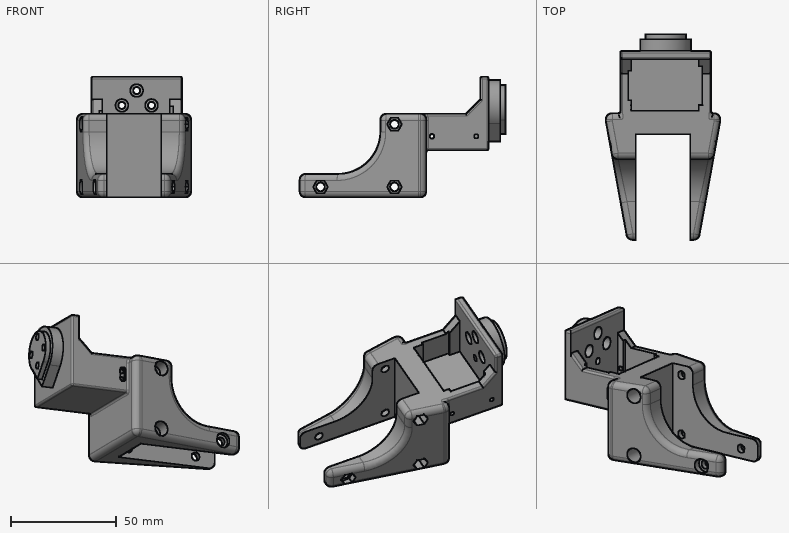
import cadquery as cq
import math


FORK_LENGTH = 60.1
FORK_HALF_WIDTH = 27.1
STRAIGHT_SIDE_LENGTH = 3.9
TIP_HALF_WIDTH = 16.9
DECK_Z = 39.7
UPPER_FRONT_Y = 38.2
ARM_HEIGHT = 11.2
SWEEP_RADIUS = 20.0
FORK_FILLET = 3.0
SLOT_WIDTH = 25.6
SLOT_LENGTH = 50.0

SCREW_REAR_Y = 44.9
SCREW_TIP_Y = 9.9
SCREW_LOW_Z = 5.0
SCREW_HIGH_Z = 34.6
SCREW_HOLE = 4.0
SCREW_HEAD = 7.0
NUT_CORNERS = 7.0
SCREW_SEAT_WALL = 3.0

BOX_CENTER_X = 1.3
BOX_WIDTH = 43.0
BOX_BOTTOM_Z = 22.3
PLATE_TOP_Z = 57.2
PLATE_THICKNESS = 4.0
PLATE_REAR_Y = 89.5
PLATE_FRONT_Y = PLATE_REAR_Y - PLATE_THICKNESS
GUSSET = 6.7
BOX_FILLET = 1.0

POCKET_LEFT_X = -15.1
POCKET_RIGHT_X = 16.9
POCKET_FRONT_Y = 61.1
POCKET_FLOOR_Z = 26.0
LEFT_RELIEF_DEPTH = 1.3
LEFT_RELIEF_Y = (66.1, 80.1)
RIGHT_RELIEF_DEPTH = 1.8
RIGHT_RELIEF_Y = (64.0, 82.3)

SIDE_HOLE = 2.0
SIDE_HOLE_FRONT_Y = 62.7
SIDE_HOLE_REAR_Y = 83.7
SIDE_HOLE_Z = 29.0
SIDE_HOLE_PITCH = 3.8
SIDE_SLOT_WIDTH = 3.0
SIDE_SLOT_DEPTH = 1.95

HUB_Z = 43.6
HUB_RADIUS = 12.1
HUB_END_Y = 95.1
BOSS_RADIUS = 9.7
BOSS_END_Y = 97.5
HUB_HOLE_CIRCLE_RADIUS = 7.0
HUB_HOLE = 3.2
HUB_HEAD = 6.0
HUB_SEAT_WALL = 3.0

BOX_LEFT_X = BOX_CENTER_X - BOX_WIDTH / 2
BOX_RIGHT_X = BOX_CENTER_X + BOX_WIDTH / 2
GUSSET_TOP_Z = DECK_Z + GUSSET
SCREW_SEAT_X = SLOT_WIDTH / 2 + SCREW_SEAT_WALL

OVERCUT = 1.0
MARGIN = 0.1


def block(x_range, y_range, z_range):
    """Axis-aligned block between the given limits."""
    (x0, x1), (y0, y1), (z0, z1) = x_range, y_range, z_range
    return cq.Workplane("XY").box(x1 - x0, y1 - y0, z1 - z0, centered=False).translate((x0, y0, z0))


def rod_x(diameter, y, z, x0, x1):
    """Cylinder along X between x0 and x1."""
    return cq.Workplane("YZ", origin=(x0, y, z)).circle(diameter / 2).extrude(x1 - x0)


def rod_y(diameter, x, z, y0, y1):
    """Cylinder along Y between y0 and y1."""
    return cq.Workplane("XZ", origin=(x, y0, z)).circle(diameter / 2).extrude(y0 - y1)


def edges_near(point):
    """Selector for the edges whose middle lies at the given point."""
    low = tuple(value - MARGIN for value in point)
    high = tuple(value + MARGIN for value in point)
    return cq.selectors.BoxSelector(low, high)


def make_fork():
    """Tapered block with a concave sweep down to the arms, rounded all over, before slotting."""
    taper_y = FORK_LENGTH - STRAIGHT_SIDE_LENGTH
    plan = (
        cq.Workplane("XY")
        .moveTo(-TIP_HALF_WIDTH, 0)
        .lineTo(TIP_HALF_WIDTH, 0)
        .lineTo(FORK_HALF_WIDTH, taper_y)
        .lineTo(FORK_HALF_WIDTH, FORK_LENGTH)
        .lineTo(-FORK_HALF_WIDTH, FORK_LENGTH)
        .lineTo(-FORK_HALF_WIDTH, taper_y)
        .close()
        .extrude(DECK_Z)
    )
    sweep_y = UPPER_FRONT_Y - SWEEP_RADIUS
    sweep_z = ARM_HEIGHT + SWEEP_RADIUS
    mid = SWEEP_RADIUS * math.sqrt(0.5)
    side = (
        cq.Workplane("YZ")
        .moveTo(0, 0)
        .lineTo(FORK_LENGTH, 0)
        .lineTo(FORK_LENGTH, DECK_Z)
        .lineTo(UPPER_FRONT_Y, DECK_Z)
        .lineTo(UPPER_FRONT_Y, sweep_z)
        .threePointArc((sweep_y + mid, sweep_z - mid), (sweep_y, ARM_HEIGHT))
        .lineTo(0, ARM_HEIGHT)
        .close()
        .extrude(FORK_HALF_WIDTH, both=True)
    )

    unrounded = (
        edges_near((0, UPPER_FRONT_Y, sweep_z))
        + edges_near((0, sweep_y, ARM_HEIGHT))
        + edges_near((-FORK_HALF_WIDTH, taper_y, DECK_Z / 2))
        + edges_near((FORK_HALF_WIDTH, taper_y, DECK_Z / 2))
    )
    return plan.intersect(side).edges(-unrounded).fillet(FORK_FILLET)


def make_box():
    """Box and end plate with sharp edges, reaching into the solid rear of the fork."""
    box_front_y = (SLOT_LENGTH + FORK_LENGTH) / 2
    return (
        cq.Workplane("YZ", origin=(BOX_LEFT_X, 0, 0))
        .moveTo(box_front_y, BOX_BOTTOM_Z)
        .lineTo(PLATE_REAR_Y, BOX_BOTTOM_Z)
        .lineTo(PLATE_REAR_Y, PLATE_TOP_Z)
        .lineTo(PLATE_FRONT_Y, PLATE_TOP_Z)
        .lineTo(PLATE_FRONT_Y, GUSSET_TOP_Z)
        .lineTo(PLATE_FRONT_Y - GUSSET, DECK_Z)
        .lineTo(box_front_y, DECK_Z)
        .close()
        .extrude(BOX_WIDTH)
    )


def round_box_edges(body):
    """Round the outer edges of the box and plate, and the corners where the box meets the fork."""
    box_behind_fork = cq.selectors.BoxSelector(
        (BOX_LEFT_X - MARGIN, FORK_LENGTH - FORK_FILLET / 2, BOX_BOTTOM_Z - MARGIN),
        (BOX_RIGHT_X + MARGIN, PLATE_REAR_Y + MARGIN, PLATE_TOP_Z + MARGIN),
    )
    sharp = (
        edges_near((BOX_CENTER_X, PLATE_FRONT_Y - GUSSET, DECK_Z))
        + edges_near((BOX_CENTER_X, PLATE_FRONT_Y, GUSSET_TOP_Z))
        + edges_near((BOX_LEFT_X, PLATE_FRONT_Y, (GUSSET_TOP_Z + PLATE_TOP_Z) / 2))
    )
    return body.edges(box_behind_fork - sharp).fillet(BOX_FILLET)


def make_pocket():
    """Servo pocket, widened on both sides by a relief."""
    y_range = (POCKET_FRONT_Y, PLATE_FRONT_Y)
    z_range = (POCKET_FLOOR_Z, PLATE_TOP_Z)
    middle = block((POCKET_LEFT_X, POCKET_RIGHT_X), y_range, z_range)
    left = block((POCKET_LEFT_X - LEFT_RELIEF_DEPTH, 0), LEFT_RELIEF_Y, z_range)
    right = block((0, POCKET_RIGHT_X + RIGHT_RELIEF_DEPTH), RIGHT_RELIEF_Y, z_range)
    return middle.union(left).union(right)


def make_teardrop(radius, end_y):
    """Disc from inside the plate back to end_y, drawn out below into a right-angled point."""
    start_y = (PLATE_FRONT_Y + PLATE_REAR_Y) / 2
    tangent = radius * math.sqrt(0.5)
    return (
        cq.Workplane("XZ", origin=(BOX_CENTER_X, start_y, HUB_Z))
        .moveTo(tangent, -tangent)
        .threePointArc((0, radius), (-tangent, -tangent))
        .lineTo(0, -radius * math.sqrt(2))
        .close()
        .extrude(start_y - end_y)
    )


def cut_fork_slot(body):
    half = SLOT_WIDTH / 2
    return body.cut(block((-half, half), (-OVERCUT, SLOT_LENGTH), (-OVERCUT, DECK_Z + OVERCUT)))


def cut_fork_screws(body):
    """Screws across the fork: round head seats on the left arm, hexagonal nut seats on the right."""
    places = (
        (SCREW_REAR_Y, SCREW_LOW_Z),
        (SCREW_REAR_Y, SCREW_HIGH_Z),
        (SCREW_TIP_Y, SCREW_LOW_Z),
    )
    for y, z in places:
        body = body.cut(rod_x(SCREW_HOLE, y, z, -FORK_HALF_WIDTH, FORK_HALF_WIDTH))
        body = body.cut(rod_x(SCREW_HEAD, y, z, -FORK_HALF_WIDTH, -SCREW_SEAT_X))
        nut_outline = cq.Workplane("YZ", origin=(SCREW_SEAT_X, y, z)).polygon(6, NUT_CORNERS)
        body = body.cut(nut_outline.extrude(FORK_HALF_WIDTH))
    return body


def cut_hub_holes(body):
    """Four holes around the hub axis; all but the lowest have a deep seat for a screw head."""
    for angle in (0, 90, 180, 270):
        x = BOX_CENTER_X + HUB_HOLE_CIRCLE_RADIUS * math.cos(math.radians(angle))
        z = HUB_Z + HUB_HOLE_CIRCLE_RADIUS * math.sin(math.radians(angle))
        body = body.cut(rod_y(HUB_HOLE, x, z, PLATE_FRONT_Y, BOSS_END_Y))
        if angle != 270:
            body = body.cut(rod_y(HUB_HEAD, x, z, PLATE_FRONT_Y, BOSS_END_Y - HUB_SEAT_WALL))
    return body


def cut_side_holes(body):
    """Two holes in the right side of the box; two in the left, joined outside by a slot."""
    for y in (SIDE_HOLE_FRONT_Y, SIDE_HOLE_REAR_Y):
        body = body.cut(rod_x(SIDE_HOLE, y, SIDE_HOLE_Z, POCKET_RIGHT_X - OVERCUT, BOX_RIGHT_X))
    for z in (SIDE_HOLE_Z, SIDE_HOLE_Z + SIDE_HOLE_PITCH):
        body = body.cut(rod_x(SIDE_HOLE, SIDE_HOLE_FRONT_Y, z, BOX_LEFT_X, POCKET_LEFT_X + OVERCUT))
    slot = (
        cq.Workplane("YZ", origin=(BOX_LEFT_X, SIDE_HOLE_FRONT_Y, SIDE_HOLE_Z + SIDE_HOLE_PITCH / 2))
        .slot2D(SIDE_HOLE_PITCH + SIDE_SLOT_WIDTH, SIDE_SLOT_WIDTH, 90)
        .extrude(SIDE_SLOT_DEPTH)
    )
    return body.cut(slot)


bracket = round_box_edges(make_fork().union(make_box()))
bracket = bracket.union(make_teardrop(HUB_RADIUS, HUB_END_Y))
bracket = bracket.union(make_teardrop(BOSS_RADIUS, BOSS_END_Y))
bracket = bracket.cut(make_pocket())
bracket = cut_fork_slot(bracket)
bracket = cut_fork_screws(bracket)
bracket = cut_hub_holes(bracket)
result = cut_side_holes(bracket)